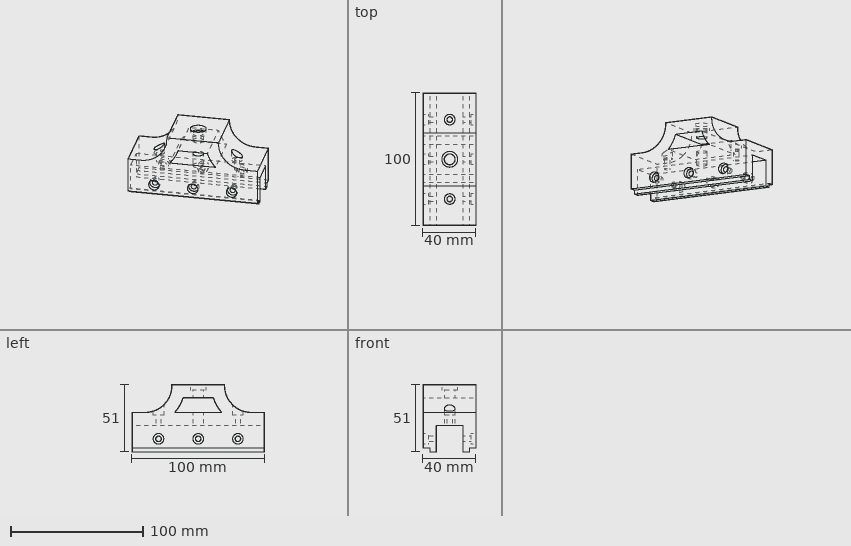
import cadquery as cq
import math

width = 40.0
length = 100.0
height = 51.0
shoulder_height = 30.0
crown_length = 40.0

flank_radius = 20.0
flank_center_y = crown_length / 2 + flank_radius
flank_center_z = shoulder_height + flank_radius

channel_width = 20.0
channel_depth = 20.0
rail_height = 3.0
rail_width = 5.0

crown_wall = 10.0
window_top = height - crown_wall
window_side_radius = flank_radius + crown_wall

screw_diameter = 4.0
screw_head_diameter = 8.0
screw_spacing = 30.0
side_screw_height = 10.0
side_head_depth = 4.0
shoulder_head_floor = 28.0
center_diameter = 8.0
center_head_diameter = 12.0
center_head_depth = 4.0


def cylinder_down(diameter, y, top, bottom):
    """Vertical cylinder on the YZ midplane, between two heights."""
    return cq.Workplane("XY", origin=(0, y, bottom)).circle(diameter / 2).extrude(top - bottom)


def make_body():
    arc_offset = flank_radius * math.sqrt(0.5)
    mid_y = flank_center_y - arc_offset
    mid_z = flank_center_z - arc_offset
    return (
        cq.Workplane("YZ")
        .moveTo(-length / 2, 0)
        .lineTo(length / 2, 0)
        .lineTo(length / 2, shoulder_height)
        .lineTo(flank_center_y, shoulder_height)
        .threePointArc((mid_y, mid_z), (crown_length / 2, flank_center_z))
        .lineTo(crown_length / 2, height)
        .lineTo(-crown_length / 2, height)
        .lineTo(-crown_length / 2, flank_center_z)
        .threePointArc((-mid_y, mid_z), (-flank_center_y, shoulder_height))
        .lineTo(-length / 2, shoulder_height)
        .close()
        .extrude(width / 2, both=True)
    )


def cut_underside(body):
    channel = cq.Workplane("XY").box(channel_width, length, channel_depth, centered=(True, True, False))
    body = body.cut(channel)
    step_width = (width - channel_width) / 2 - rail_width
    for side in (-1, 1):
        step = (
            cq.Workplane("XY")
            .center(side * (width - step_width) / 2, 0)
            .box(step_width, length, rail_height, centered=(True, True, False))
        )
        body = body.cut(step)
    return body


def window_half_width(z):
    """Half width of the window, whose sides run concentric with the flanks."""
    return flank_center_y - math.sqrt(window_side_radius**2 - (flank_center_z - z) ** 2)


def cut_window(body):
    bottom = window_half_width(shoulder_height)
    top = window_half_width(window_top)
    mid_z = (shoulder_height + window_top) / 2
    middle = window_half_width(mid_z)
    window = (
        cq.Workplane("YZ")
        .moveTo(-bottom, shoulder_height)
        .lineTo(bottom, shoulder_height)
        .threePointArc((middle, mid_z), (top, window_top))
        .lineTo(-top, window_top)
        .threePointArc((-middle, mid_z), (-bottom, shoulder_height))
        .close()
        .extrude(width / 2, both=True)
    )
    return body.cut(window)


def cut_vertical_holes(body):
    body = body.cut(cylinder_down(center_diameter, 0, height, 0))
    body = body.cut(cylinder_down(center_head_diameter, 0, height, height - center_head_depth))
    for y in (-screw_spacing, screw_spacing):
        body = body.cut(cylinder_down(screw_diameter, y, height, 0))
        body = body.cut(cylinder_down(screw_head_diameter, y, height, shoulder_head_floor))
    return body


def cut_side_holes(body):
    for y in (-screw_spacing, 0, screw_spacing):
        start = cq.Workplane("YZ", origin=(-width / 2, y, side_screw_height))
        body = body.cut(start.circle(screw_diameter / 2).extrude(width))
        for wall_x in (-width / 2, width / 2 - side_head_depth):
            head = cq.Workplane("YZ", origin=(wall_x, y, side_screw_height))
            body = body.cut(head.circle(screw_head_diameter / 2).extrude(side_head_depth))
    return body


result = make_body()
result = cut_underside(result)
result = cut_window(result)
result = cut_vertical_holes(result)
result = cut_side_holes(result)